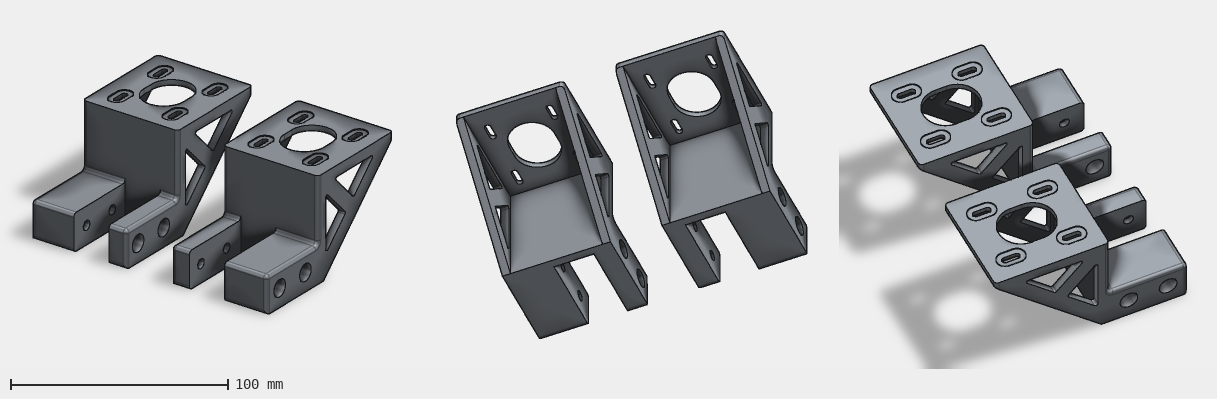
import cadquery as cq

overall_width = 134.2
bracket_width = 54.2
height = 55.3
block_depth = 58.2
arm_length = 40.0
arm_height = 20.0
edge_radius = 2.0

top_plate = 3.0
front_wall = 4.0
side_wall = 4.0

thick_arm = 24.2
arm_gap = 20.0
thin_arm = bracket_width - thick_arm - arm_gap

slot_travel = 6.0
pilot_diameter = 22.5
screw_pitch = 31.0
screw_slot_width = 3.1
head_slot_width = 8.5
head_recess_depth = 0.5
motor_x = bracket_width / 2
motor_y = block_depth / 2

bolt_diameter = 5.0
bolt_head_diameter = 9.0
bolt_seat = 3.0
bolt_pitch = 20.0
thick_arm_bolt_setback = arm_height / 2
thin_arm_bolt_setback = 9.0
bolt_z = arm_height / 2

slope = (height - top_plate) / (block_depth - front_wall)

window_margin = 5.9
window_long_side = 31.1
window_reach = window_long_side / (slope + 1 / slope)
window_corner_radius = 1.0
upper_window_front = 12.5
lower_window_bottom = 13.3

overlap = 1.3


def outer_shape():
    """Side profile swept across the width, with rounded outer edges."""
    profile = [
        (-arm_length, 0),
        (front_wall, 0),
        (block_depth, height - top_plate),
        (block_depth, height),
        (0, height),
        (0, arm_height),
        (-arm_length, arm_height),
    ]
    body = cq.Workplane("YZ").polyline(profile).close().extrude(bracket_width)
    upright_edges = body.edges("|Z")
    step_edges = body.edges(cq.selectors.BoxSelector(
        (-overlap, -arm_length - overlap, arm_height - overlap),
        (bracket_width + overlap, overlap, arm_height + overlap),
    ))
    bottom_front_edge = body.faces("<Y").edges("<Z")
    rounded = upright_edges.add(step_edges).add(bottom_front_edge)
    return rounded.fillet(edge_radius)


def block_cavity():
    """Space under the top plate and behind the front wall, open along the slope."""
    return cq.Workplane("XY").box(
        bracket_width - 2 * side_wall,
        block_depth,
        height - top_plate + overlap,
        centered=False,
    ).translate((side_wall, front_wall, -overlap))


def arm_gap_cut():
    """Space between the two arms."""
    return cq.Workplane("XY").box(
        arm_gap, arm_length + overlap, height, centered=False
    ).translate((thick_arm, -arm_length - overlap, -overlap))


def window(points):
    """Rounded triangle cut through both side walls."""
    return (
        cq.Workplane("YZ").polyline(points).close()
        .extrude(bracket_width)
        .edges("|X").fillet(window_corner_radius)
    )


def upper_window():
    """Window with its long side under the top plate."""
    top = height - window_margin
    return window([
        (upper_window_front, top),
        (upper_window_front + window_long_side, top),
        (upper_window_front + window_reach * slope, top - window_reach),
    ])


def lower_window():
    """Window with its long side behind the front wall."""
    return window([
        (window_margin, lower_window_bottom),
        (window_margin, lower_window_bottom + window_long_side),
        (window_margin + window_reach, lower_window_bottom + window_reach * slope),
    ])


def slots(centers, width, depth):
    """Slots along Y cut down from the top face."""
    return (
        cq.Workplane("XY", origin=(motor_x, motor_y, height))
        .pushPoints(centers)
        .slot2D(width + slot_travel, width, 90)
        .extrude(-depth)
    )


def motor_openings():
    """Pilot opening and four recessed screw slots in the top plate."""
    offset = screw_pitch / 2
    screws = [(x, y) for x in (-offset, offset) for y in (-offset, offset)]
    through = top_plate + overlap
    pilot = slots([(0, 0)], pilot_diameter, through)
    screw_slots = slots(screws, screw_slot_width, through)
    head_recesses = slots(screws, head_slot_width, head_recess_depth)
    return [pilot, screw_slots, head_recesses]


def bolt_cylinders(diameter, setback, x_start, length):
    """Pair of cylinders along X, the first one set back from the arm's front end."""
    front_bolt_y = -arm_length + setback
    return (
        cq.Workplane("YZ", origin=(x_start, 0, 0))
        .pushPoints([(front_bolt_y, bolt_z), (front_bolt_y + bolt_pitch, bolt_z)])
        .circle(diameter / 2)
        .extrude(length)
    )


def thick_arm_bolt_holes():
    """Bolt holes counterbored from the outer side of the thick arm."""
    setback = thick_arm_bolt_setback
    return [
        bolt_cylinders(bolt_diameter, setback, 0, thick_arm),
        bolt_cylinders(bolt_head_diameter, setback, 0, thick_arm - bolt_seat),
    ]


def thin_arm_bolt_holes():
    """Bolt holes counterbored from the outer side of the thin arm."""
    setback = thin_arm_bolt_setback
    inner_x = bracket_width - thin_arm
    return [
        bolt_cylinders(bolt_diameter, setback, inner_x, thin_arm),
        bolt_cylinders(bolt_head_diameter, setback, inner_x + bolt_seat, thin_arm - bolt_seat),
    ]


def make_bracket():
    """Bracket with its thick arm on the -X side."""
    bracket = outer_shape()
    cuts = [block_cavity(), arm_gap_cut(), upper_window(), lower_window()]
    cuts += motor_openings()
    cuts += thick_arm_bolt_holes()
    cuts += thin_arm_bolt_holes()
    for cut in cuts:
        bracket = bracket.cut(cut)
    return bracket


left_bracket = make_bracket()
right_bracket = left_bracket.mirror("YZ", (overall_width / 2, 0, 0))
result = cq.Compound.makeCompound([left_bracket.val(), right_bracket.val()])